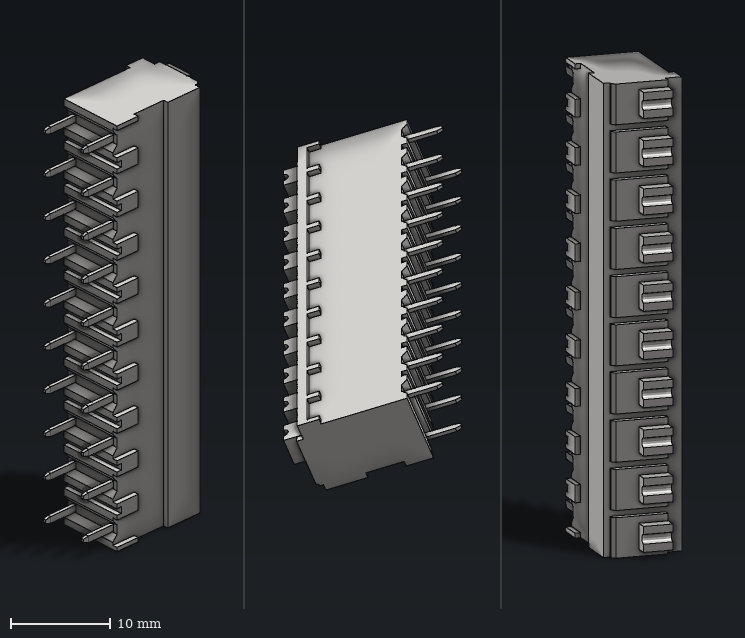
import cadquery as cq

POLES = 10
PITCH = 5.0
END_MARGIN = 2.1
LENGTH = PITCH * (POLES - 1) + 2 * END_MARGIN
POLE_CENTRES = [LENGTH / 2 - END_MARGIN - PITCH * i for i in range(POLES)]
GAP_CENTRES = [z - PITCH / 2 for z in POLE_CENTRES[:-1]]
GAP_WIDTH = 0.75

DEPTH = 8.4
X_BACK = DEPTH / 2
X_FRONT = -X_BACK
LEDGE = 0.6
X_WALL = X_FRONT + LEDGE
X_HEAD = X_FRONT + 1.75
HEAD_Y = 12.25
SHOULDER_Y = 11.55
LIP_Y = 10.5
END_TAB = 0.65
TAB_Y = 9.2
HEAD_BACK_STEP = 0.7
HEAD_CHAMFER = 0.4
RECESS_DEPTH = 0.6
RECESS_BOTTOM = 2.95
RECESS_TOP = 7.05

GROOVE_DEPTH = 0.6
GROOVE_FLOOR = 1.05
GROOVE_MOUTH = 2.5
FOOT_GAP = 3.15

BUTTON_TOP = 13.65
BUTTON_DEPTH = 3.15
BUTTON_WIDTH = 2.7
BUTTON_PROUD = 0.05
NOTCH_RADIUS = 0.5

PIN_LENGTH = 3.5
PIN_THICKNESS = 0.45
PIN_WIDTH = 0.8
PIN_TIP_LENGTH = 0.6
PIN_TIP_THICKNESS = 0.35
PIN_TIP_WIDTH = 0.4
PIN_CENTRES = [X_FRONT + 1.55, X_FRONT + 7.05]


def box(x0, x1, y0, y1, z0, z1):
    """Box between two opposite corners."""
    return cq.Workplane("XY").box(x1 - x0, y1 - y0, z1 - z0, centered=False).translate((x0, y0, z0))


def make_housing():
    """Housing section, including the full shoulder, extruded along the row."""
    x_head_back = X_BACK - HEAD_BACK_STEP
    x_recess = X_BACK - RECESS_DEPTH
    outline = [
        (X_WALL, 0),
        (X_BACK, 0),
        (X_BACK, RECESS_BOTTOM),
        (x_recess, RECESS_BOTTOM),
        (x_recess, RECESS_TOP),
        (X_BACK, RECESS_TOP),
        (X_BACK, SHOULDER_Y),
        (x_head_back, SHOULDER_Y),
        (x_head_back, HEAD_Y - HEAD_CHAMFER),
        (x_head_back - HEAD_CHAMFER, HEAD_Y),
        (X_HEAD, HEAD_Y),
        (X_HEAD, SHOULDER_Y),
        (X_FRONT, SHOULDER_Y),
        (X_FRONT, TAB_Y),
        (X_WALL, TAB_Y),
    ]
    return cq.Workplane("XY").polyline(outline).close().extrude(LENGTH / 2, both=True)


def make_lip_cut(z):
    """Cut under the shoulder lip of one pole, leaving tabs at both sides."""
    half = (PITCH - GAP_WIDTH) / 2
    top = min(z + half, LENGTH / 2 - END_TAB)
    bottom = max(z - half, -LENGTH / 2 + END_TAB)
    return box(X_FRONT, X_WALL, TAB_Y, LIP_Y, bottom, top)


def make_groove(z):
    """V-sided groove across the mounting face of one pole."""
    section = [
        (0, z - GROOVE_MOUTH / 2),
        (GROOVE_DEPTH, z - GROOVE_FLOOR / 2),
        (GROOVE_DEPTH, z + GROOVE_FLOOR / 2),
        (0, z + GROOVE_MOUTH / 2),
    ]
    groove = cq.Workplane("YZ").polyline(section).close().extrude(DEPTH / 2, both=True)
    x_foot = X_BACK - RECESS_DEPTH
    foot_gap = box(x_foot, X_BACK, 0, RECESS_BOTTOM, z - FOOT_GAP / 2, z + FOOT_GAP / 2)
    return groove.union(foot_gap)


def make_gap(z):
    """Slots separating two poles on the mounting face and on the head."""
    z0 = z - GAP_WIDTH / 2
    z1 = z + GAP_WIDTH / 2
    mount_slot = box(X_FRONT, X_BACK, 0, GROOVE_DEPTH, z0, z1)
    head_slot = box(X_FRONT, X_BACK, SHOULDER_Y, HEAD_Y, z0, z1)
    return mount_slot.union(head_slot)


def make_button(z):
    """Push button with a round notch across its top."""
    x0 = X_HEAD - BUTTON_PROUD
    half = BUTTON_WIDTH / 2
    button = box(x0, x0 + BUTTON_DEPTH, SHOULDER_Y, BUTTON_TOP, z - half, z + half)
    notch = cq.Workplane("YZ").center(BUTTON_TOP, z).circle(NOTCH_RADIUS).extrude(DEPTH, both=True)
    return button.cut(notch)


def make_pin(x, z):
    """Flat solder pin whose tip tapers in width and, on its +X face, in thickness."""
    straight = PIN_LENGTH - PIN_TIP_LENGTH
    half_x = PIN_THICKNESS / 2
    half_z = PIN_WIDTH / 2
    shank = box(x - half_x, x + half_x, -straight, GROOVE_DEPTH, z - half_z, z + half_z)
    tip = (
        cq.Workplane("XZ", origin=(x, -straight, z))
        .rect(PIN_THICKNESS, PIN_WIDTH)
        .workplane(offset=PIN_TIP_LENGTH)
        .center(-(PIN_THICKNESS - PIN_TIP_THICKNESS) / 2, 0)
        .rect(PIN_TIP_THICKNESS, PIN_TIP_WIDTH)
        .loft()
    )
    return shank.union(tip)


result = make_housing()
for z in POLE_CENTRES:
    result = result.cut(make_lip_cut(z)).cut(make_groove(z))
for z in GAP_CENTRES:
    result = result.cut(make_gap(z))
for z in POLE_CENTRES:
    result = result.union(make_button(z))
    for x in PIN_CENTRES:
        result = result.union(make_pin(x, z))